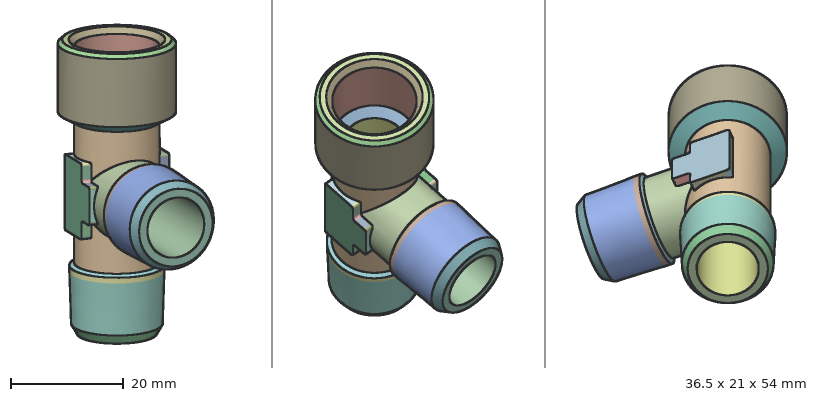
import cadquery as cq
import math

BORE_DIAMETER = 11.0
TUBE_DIAMETER = 15.2
SLOPE = math.tan(math.radians(30))

SOCKET_TOP = 28.0
SOCKET_DIAMETER = 21.0
SOCKET_LENGTH = 14.9
SOCKET_CHAMFER_WIDTH = 0.8
SOCKET_CHAMFER_HEIGHT = 0.7
SOCKET_BORE_DIAMETER = 14.95
SOCKET_BORE_DEPTH = 12.0
COUNTERSINK_DIAMETER = 17.1

MALE_REACH = 26.0
COLLAR_DIAMETER = 16.89
COLLAR_START = 13.0
TAPER_START = 14.6
TAPER_END = 24.2
TAPER_RATIO = 1 / 16

PAD_SPAN = 17.0
PAD_LEFT = -3.7
PAD_WIDTH = 7.5
PAD_HEIGHT = 14.0
TAB_LENGTH = 3.45
TAB_HEIGHT = 7.0
PAD_CORNER_RADIUS = 0.5

bore_radius = BORE_DIAMETER / 2
tube_radius = TUBE_DIAMETER / 2


def revolve_about_z(points):
    """Revolve a closed (radius, height) profile about the Z axis."""
    profile = cq.Workplane("XZ").polyline(points).close()
    return profile.revolve(360, (0, 0, 0), (0, 1, 0))


def male_end():
    """Tube with a collar and tapered end, running from the origin up +Z."""
    collar_radius = COLLAR_DIAMETER / 2
    collar_rise = (collar_radius - tube_radius) * SLOPE
    taper_end_radius = collar_radius - (TAPER_END - TAPER_START) * TAPER_RATIO / 2
    end_radius = taper_end_radius - (MALE_REACH - TAPER_END) * SLOPE
    return revolve_about_z([
        (0, 0),
        (tube_radius, 0),
        (tube_radius, COLLAR_START),
        (collar_radius, COLLAR_START + collar_rise),
        (collar_radius, TAPER_START),
        (taper_end_radius, TAPER_END),
        (end_radius, MALE_REACH),
        (0, MALE_REACH),
    ])


def female_socket():
    """Upper tube that widens through a conical shoulder into the socket."""
    socket_radius = SOCKET_DIAMETER / 2
    shoulder_start = SOCKET_TOP - SOCKET_LENGTH
    shoulder_end = shoulder_start + (socket_radius - tube_radius) * SLOPE
    return revolve_about_z([
        (0, 0),
        (tube_radius, 0),
        (tube_radius, shoulder_start),
        (socket_radius, shoulder_end),
        (socket_radius, SOCKET_TOP - SOCKET_CHAMFER_HEIGHT),
        (socket_radius - SOCKET_CHAMFER_WIDTH, SOCKET_TOP),
        (0, SOCKET_TOP),
    ])


def socket_cavity():
    """Countersunk socket bore with a conical floor that leads into the main bore."""
    socket_bore_radius = SOCKET_BORE_DIAMETER / 2
    countersink_radius = COUNTERSINK_DIAMETER / 2
    countersink_depth = countersink_radius - socket_bore_radius
    floor_start = SOCKET_TOP - SOCKET_BORE_DEPTH
    floor_end = floor_start - (socket_bore_radius - bore_radius) * SLOPE
    return revolve_about_z([
        (0, floor_end),
        (bore_radius, floor_end),
        (socket_bore_radius, floor_start),
        (socket_bore_radius, SOCKET_TOP - countersink_depth),
        (countersink_radius, SOCKET_TOP),
        (0, SOCKET_TOP),
    ])


def pads():
    """T-shaped block through the tee whose two ends form the flat pads."""
    pad_right = PAD_LEFT + PAD_WIDTH
    tab_right = pad_right + TAB_LENGTH
    outline = cq.Workplane("XZ").polyline([
        (PAD_LEFT, -PAD_HEIGHT / 2),
        (pad_right, -PAD_HEIGHT / 2),
        (pad_right, -TAB_HEIGHT / 2),
        (tab_right, -TAB_HEIGHT / 2),
        (tab_right, TAB_HEIGHT / 2),
        (pad_right, TAB_HEIGHT / 2),
        (pad_right, PAD_HEIGHT / 2),
        (PAD_LEFT, PAD_HEIGHT / 2),
    ]).close()
    block = outline.extrude(PAD_SPAN / 2, both=True)
    return block.edges("|Y").fillet(PAD_CORNER_RADIUS)


def bores():
    """Main bore through the run and the branch bore that opens into it."""
    run_start = cq.Workplane("XY", origin=(0, 0, -MALE_REACH))
    run_bore = run_start.circle(bore_radius).extrude(MALE_REACH + SOCKET_TOP)
    branch_bore = cq.Workplane("YZ").circle(bore_radius).extrude(MALE_REACH)
    return run_bore.union(branch_bore)


lower_end = male_end().rotate((0, 0, 0), (1, 0, 0), 180)
branch_end = male_end().rotate((0, 0, 0), (0, 1, 0), 90)

body = female_socket().union(lower_end).union(branch_end).union(pads())
result = body.cut(socket_cavity()).cut(bores())